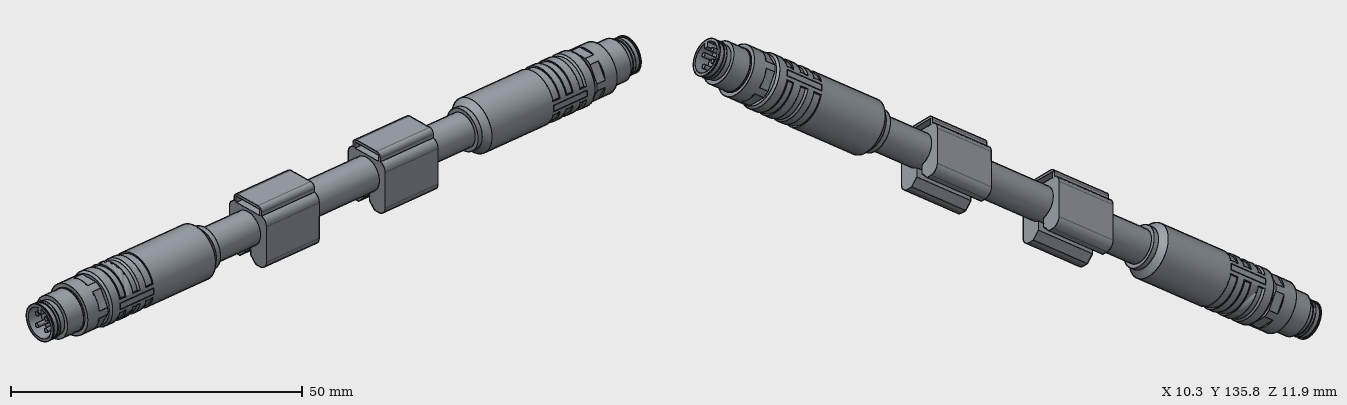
import cadquery as cq
import math


total_length = 135.8
half_length = total_length / 2

cable_radius = 3.3

nose_radius = 6.9 / 2
neck_radius = 6.5 / 2
nose_rim_width = 0.3
nose_ring_at = 1.2
nose_ring_width = 0.5
barrel_at = 2.9
barrel_radius = 8.0 / 2

collar_at = 6.5
collar_radius = 4.1
nut_at = 6.8
nut_radius = 9.6 / 2
nut_end_at = 11.4
flat_count = 6
flat_distance = 4.5
flats_at = 9.5

grip_at = 11.8
grip_radius = 10.3 / 2
grip_front_chamfer = 0.4
cone_at = 36.0
cone_length = 1.2
sleeve_end_at = 38.1

groove_depth = 0.3
wall_lean = 0.4
grooves = [
    (14.0, 15.5, wall_lean, 0),
    (17.1, 18.7, 0, wall_lean),
    (20.1, 21.7, 0, 0),
]
rib_width = 2.7
rib_slot_width = 1.2
rib_slot_depth = 0.1

cut_margin = 1.4

socket_radius = 5.8 / 2
socket_depth = 2.9
pin_radius = 0.8 / 2
pin_circle_radius = 1.6
pin_count = 4
pin_setback = 0.4
key_width = 0.8
key_bottom = 1.9

clip_length = 12.2
clip_offset = 13.7
clip_half_width = 4.8
clip_top = 5.5
clip_bottom = -6.4
shoulder_height = 4.0
shoulder_radius = 1.6
holder_half_width = 3.5
holder_corner_radius = 1.0
label_slot_half_width = 3.0
label_slot_bottom = 3.8
label_slot_top = 5.0
leg_radius = 1.6
leg_tip_inner = 2.0
mouth_half_width = 0.7


def disc(radius, start, end):
    """Round bar on the cable axis between two distances from the plug tip."""
    plane = cq.Workplane("XZ", origin=(0, start - half_length, 0))
    return plane.circle(radius).extrude(start - end)


def revolve_about_cable(outline):
    """Revolve (radius, distance from the plug tip) points about the cable axis."""
    profile = cq.Workplane("XY", origin=(0, -half_length, 0)).polyline(outline).close()
    return profile.revolve(360, (0, 0, 0), (0, 1, 0))


def turned_body():
    """Plug body without the cut details, revolved about the cable axis."""
    ring_end = nose_ring_at + nose_ring_width
    outline = [
        (0, 0),
        (nose_radius, 0),
        (nose_radius, nose_rim_width),
        (neck_radius, nose_rim_width),
        (neck_radius, nose_ring_at),
        (nose_radius, nose_ring_at),
        (nose_radius, ring_end),
        (neck_radius, ring_end),
        (neck_radius, barrel_at),
        (barrel_radius, barrel_at),
        (barrel_radius, collar_at),
        (collar_radius, collar_at),
        (collar_radius, nut_at),
        (nut_radius, nut_at),
        (nut_radius, nut_end_at),
        (neck_radius, nut_end_at),
        (neck_radius, grip_at),
        (grip_radius - grip_front_chamfer, grip_at),
        (grip_radius, grip_at + grip_front_chamfer),
        (grip_radius, cone_at),
        (barrel_radius, cone_at + cone_length),
        (barrel_radius, sleeve_end_at),
        (0, sleeve_end_at),
    ]
    return revolve_about_cable(outline)


def nut_flat_cutter():
    """Material outside the hexagon on the rear part of the nut."""
    hexagon_diameter = 2 * flat_distance / math.cos(math.pi / flat_count)
    plane = cq.Workplane("XZ", origin=(0, flats_at - half_length, 0))
    hexagon = plane.polygon(flat_count, hexagon_diameter).extrude(flats_at - nut_end_at)
    return disc(grip_radius, flats_at, nut_end_at).cut(hexagon)


def groove_cutter(start, end, front_lean, rear_lean):
    """Shallow ring groove that leaves the side ribs standing."""
    floor_radius = grip_radius - groove_depth
    outline = [
        (floor_radius, start + front_lean),
        (grip_radius, start),
        (grip_radius + cut_margin, start),
        (grip_radius + cut_margin, end),
        (grip_radius, end),
        (floor_radius, end - rear_lean),
    ]
    ring = revolve_about_cable(outline)
    side_ribs = cq.Workplane("XY").box(4 * grip_radius, total_length, rib_width)
    return ring.cut(side_ribs)


def rib_slot_cutter():
    """Shallow flat-bottomed slot along both side ribs."""
    start = grooves[0][0]
    length = grooves[-1][1] - start
    middle = start + length / 2 - half_length
    floor = grip_radius - rib_slot_depth
    slot = cq.Workplane("XY").box(cut_margin, length, rib_slot_width)
    right = slot.translate((floor + cut_margin / 2, middle, 0))
    return right.union(right.mirror("YZ"))


def add_contacts(plug):
    """Open the nose and leave four pins and a locating key inside."""
    opening = disc(socket_radius, 0, socket_depth)
    key_height = socket_radius - key_bottom
    key = cq.Workplane("XY").box(key_width, total_length, key_height, centered=(True, True, False))
    opening = opening.cut(key.translate((0, 0, key_bottom)))
    plug = plug.cut(opening)
    pins = (
        cq.Workplane("XZ", origin=(0, pin_setback - half_length, 0))
        .polarArray(pin_circle_radius, 180 / pin_count, 360, pin_count)
        .circle(pin_radius)
        .extrude(pin_setback - socket_depth)
    )
    return plug.union(pins)


def make_plug():
    """Complete plug with its tip at the -Y end of the part."""
    plug = turned_body().cut(nut_flat_cutter())
    for groove in grooves:
        plug = plug.cut(groove_cutter(*groove))
    plug = plug.cut(rib_slot_cutter())
    return add_contacts(plug)


def make_clip(center):
    """Snap-on clip around the cable with a label holder on top and two legs below."""
    plane = cq.Workplane("XZ", origin=(0, center + clip_length / 2, 0))
    corner = math.sqrt(0.5)
    holder_x = holder_half_width - holder_corner_radius
    holder_z = clip_top - holder_corner_radius
    shoulder_x = clip_half_width - shoulder_radius
    shoulder_z = shoulder_height - shoulder_radius
    shoulder_rise = math.sqrt(shoulder_radius**2 - (holder_half_width - shoulder_x) ** 2)
    shoulder_start = shoulder_z + shoulder_rise
    leg_x = clip_half_width - leg_radius
    leg_z = clip_bottom + leg_radius
    mouth_z = clip_bottom + leg_tip_inner - mouth_half_width
    half = (
        plane.moveTo(0, clip_top)
        .lineTo(holder_x, clip_top)
        .threePointArc(
            (holder_x + holder_corner_radius * corner, holder_z + holder_corner_radius * corner),
            (holder_half_width, holder_z),
        )
        .lineTo(holder_half_width, shoulder_start)
        .threePointArc(
            (shoulder_x + shoulder_radius * corner, shoulder_z + shoulder_radius * corner),
            (clip_half_width, shoulder_z),
        )
        .lineTo(clip_half_width, leg_z)
        .threePointArc(
            (leg_x + leg_radius * corner, leg_z - leg_radius * corner),
            (leg_x, clip_bottom),
        )
        .lineTo(leg_tip_inner, clip_bottom)
        .lineTo(mouth_half_width, mouth_z)
        .lineTo(mouth_half_width, 0)
        .lineTo(0, 0)
        .close()
        .extrude(clip_length)
    )
    slot_height = label_slot_top - label_slot_bottom
    slot = (
        plane.center(0, label_slot_bottom + slot_height / 2)
        .rect(2 * label_slot_half_width, slot_height)
        .extrude(clip_length)
    )
    return half.union(half.mirror("YZ")).cut(slot)


plug = make_plug()
result = disc(cable_radius, sleeve_end_at, total_length - sleeve_end_at)
result = result.union(plug).union(plug.mirror("XZ"))
for center in (-clip_offset, clip_offset):
    result = result.union(make_clip(center))